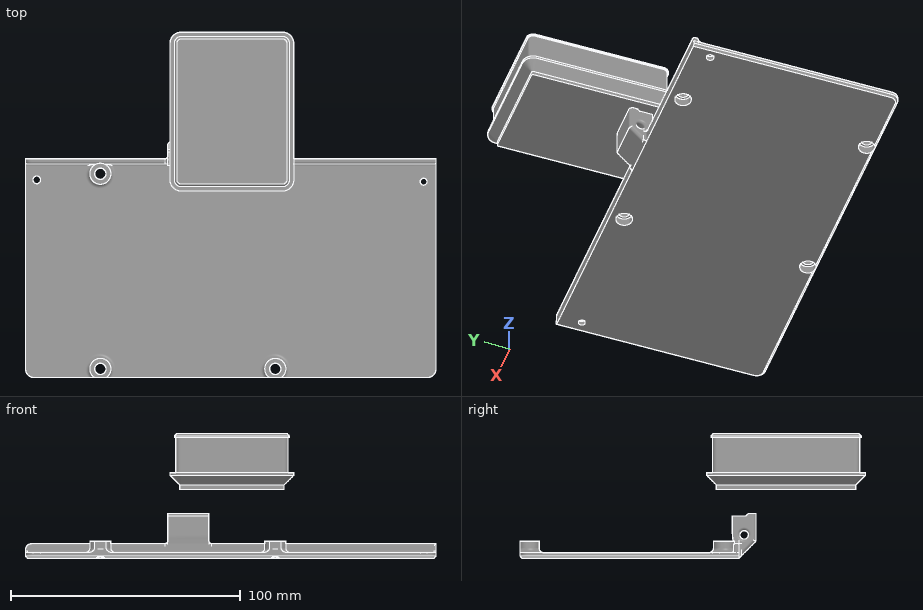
import cadquery as cq
import math

plate_width = 179.0
plate_depth = 95.4
plate_thickness = 2.5
plate_corner_radius = 4.0
plate_bottom_chamfer = 1.0

rim_height = 6.5
rim_thickness = 2.4
rim_front_fillet = 1.0
rim_back_fillet = 0.6
rim_left_corner_radius = 2.9
rim_foot_fillet = 0.8
rim_front_y = plate_depth - rim_thickness

boss_diameter = 9.2
boss_top = 7.5
boss_fillet = 2.0
boss_first_x = 32.7
boss_first_y = 3.85
boss_spacing_x = 76.2
boss_spacing_y = 85.0
screw_hole_diameter = 4.8
screw_head_diameter = 7.2
screw_head_depth = 4.0

locating_holes = [(5.0, 86.2, 3.24), (173.5, 85.4, 2.9)]

lug_left_x = 62.0
lug_width = 18.0
lug_front_y = 92.5
lug_back_y = 102.9
lug_top = 19.6
lug_step_height = 1.1
lug_ledge_depth = 3.4
lug_throat_top = 11.0
lug_throat_bottom = 8.1
lug_throat_foot = 6.3
lug_throat_radius = 30.96 / 2
lug_back_fillet = 1.7
lug_flare_radius = 1.2
lug_hole_diameter = 3.6
lug_hole_mouth_fillet = 1.5
lug_hole_y = 97.7
lug_hole_z = 10.25

box_center_x = 90.0
box_back_y = 150.6
box_bottom = 30.0
box_width = 49.0
box_depth = 64.3
box_corner_radius = 2.5
flange_overhang = 2.5
plug_inset = 1.7
plug_height = 2.0
flange_rim_height = 1.2
flange_chamfer = flange_overhang + plug_inset
flange_top = box_bottom + plug_height + flange_chamfer + flange_rim_height
box_center_y = box_back_y - flange_overhang - box_depth / 2

lid_overhang = 0.6
lid_chamfer = 1.1
lid_thickness = 1.7
lid_top = 54.46
lid_bottom = lid_top - lid_thickness


def plate_slab():
    slab = cq.Workplane("XY").box(plate_width, plate_depth, plate_thickness, centered=False)
    slab = slab.edges("|Z and <Y").fillet(plate_corner_radius)
    return slab.faces("<Z").edges("not(>Y)").chamfer(plate_bottom_chamfer)


def rim():
    upright = (
        cq.Workplane("XY")
        .box(plate_width, rim_thickness, rim_height - plate_thickness, centered=False)
        .translate((0, rim_front_y, plate_thickness))
    )
    upright = upright.edges("|Y and >Z and <X").fillet(rim_left_corner_radius)
    upright = upright.faces("<Y").edges("not(<Z)").fillet(rim_front_fillet)
    upright = upright.faces(">Y").edges("not(<Z)").fillet(rim_back_fillet)
    bulge = rim_foot_fillet * (1 - math.sqrt(0.5))
    foot = (
        cq.Workplane("YZ")
        .moveTo(rim_front_y, plate_thickness)
        .lineTo(rim_front_y - rim_foot_fillet, plate_thickness)
        .threePointArc(
            (rim_front_y - bulge, plate_thickness + bulge),
            (rim_front_y, plate_thickness + rim_foot_fillet),
        )
        .close()
        .extrude(plate_width)
    )
    return upright.union(foot)


def boss():
    """Boss about the Z axis that flares into the plate through a concave fillet."""
    radius = boss_diameter / 2
    fillet_top = plate_thickness + boss_fillet
    bulge = boss_fillet * (1 - math.sqrt(0.5))
    return (
        cq.Workplane("XZ")
        .moveTo(0, plate_thickness)
        .lineTo(radius + boss_fillet, plate_thickness)
        .threePointArc((radius + bulge, plate_thickness + bulge), (radius, fillet_top))
        .lineTo(radius, boss_top)
        .lineTo(0, boss_top)
        .close()
        .revolve(360, (0, 0), (0, 1))
    )


def screw_passage():
    """Through hole with a screw-head recess from the underside."""
    hole = cq.Workplane("XY").circle(screw_hole_diameter / 2).extrude(boss_top)
    head = cq.Workplane("XY").circle(screw_head_diameter / 2).extrude(screw_head_depth)
    return hole.union(head)


def side_edges(lug, centers):
    """Edges of both lug sides whose middles lie nearest to the given (y, z) places."""
    found = []
    for x in (lug_left_x, lug_left_x + lug_width):
        for y, z in centers:
            found += lug.edges(cq.selectors.NearestToPointSelector((x, y, z))).vals()
    return lug.newObject(found)


def hinge_lug():
    ledge_y = lug_back_y - lug_ledge_depth
    step_z = lug_top - lug_step_height
    throat_drop = lug_throat_top - lug_throat_bottom

    def throat_y(drop):
        sag = lug_throat_radius - math.sqrt(lug_throat_radius**2 - drop**2)
        return lug_front_y + sag

    slope_top = lug_back_y - plate_depth
    lug = (
        cq.Workplane("YZ")
        .moveTo(plate_depth, 0)
        .lineTo(lug_back_y, slope_top)
        .lineTo(lug_back_y, lug_top)
        .lineTo(ledge_y, lug_top)
        .lineTo(ledge_y - lug_step_height, step_z)
        .lineTo(lug_front_y, step_z)
        .lineTo(lug_front_y, lug_throat_top)
        .threePointArc(
            (throat_y(throat_drop / 2), lug_throat_top - throat_drop / 2),
            (throat_y(throat_drop), lug_throat_bottom),
        )
        .lineTo(rim_front_y, lug_throat_foot)
        .lineTo(rim_front_y, 0)
        .close()
        .extrude(lug_width)
        .translate((lug_left_x, 0, 0))
    )
    upright_middle = (lug_back_y, (slope_top + lug_top) / 2)
    slope_middle = ((plate_depth + lug_back_y) / 2, slope_top / 2)
    lug = side_edges(lug, [upright_middle, slope_middle]).fillet(lug_back_fillet)

    hole = (
        cq.Workplane("YZ", origin=(lug_left_x, lug_hole_y, lug_hole_z))
        .circle(lug_hole_diameter / 2)
        .extrude(lug_width)
    )
    return side_edges(lug.cut(hole), [(lug_hole_y, lug_hole_z)]).fillet(lug_hole_mouth_fillet)


def flare_outline(workplane, base, shoulder):
    """Outline as wide as the lug at the shoulder and curving outward to a wider base."""
    left = lug_left_x
    right = lug_left_x + lug_width
    radius = lug_flare_radius
    bulge = radius * (1 - math.sqrt(0.5))
    return (
        workplane.moveTo(left - radius, base)
        .lineTo(left - radius, shoulder)
        .threePointArc((left - bulge, shoulder + bulge), (left, shoulder + radius))
        .lineTo(right, shoulder + radius)
        .threePointArc((right + bulge, shoulder + bulge), (right + radius, shoulder))
        .lineTo(right + radius, base)
        .close()
    )


def lug_flares():
    """Concave shoulders where the lug runs out onto the rim top and the plate's back face."""
    top_plane = cq.Workplane("XZ", origin=(0, plate_depth, 0))
    top_flare = flare_outline(top_plane, rim_height - rim_front_fillet, rim_height).extrude(rim_thickness)
    back_flare = flare_outline(cq.Workplane("XY"), rim_front_y, plate_depth).extrude(rim_height)
    slope_cut = (
        cq.Workplane("YZ")
        .moveTo(plate_depth, 0)
        .lineTo(plate_depth + rim_height, rim_height)
        .lineTo(plate_depth + rim_height, 0)
        .close()
        .extrude(plate_width)
    )
    return top_flare.union(back_flare.cut(slope_cut))


def make_base_plate():
    boss_places = [
        (boss_first_x + column * boss_spacing_x, boss_first_y + row * boss_spacing_y, 0)
        for column in range(2)
        for row in range(2)
    ]
    plate = plate_slab().union(rim()).union(hinge_lug()).union(lug_flares())
    footprint = cq.Workplane("XY").box(plate_width, plate_depth, boss_top, centered=False)
    for place in boss_places:
        plate = plate.union(boss().translate(place).intersect(footprint))
    for place in boss_places:
        plate = plate.cut(screw_passage().translate(place))
    for x, y, diameter in locating_holes:
        hole = cq.Workplane("XY", origin=(x, y, 0)).circle(diameter / 2).extrude(plate_thickness)
        plate = plate.cut(hole)
    return plate


def rounded_block(offset, bottom, top):
    """Block whose outline is the box outline moved outward by offset."""
    return (
        cq.Workplane("XY", origin=(box_center_x, box_center_y, bottom))
        .rect(box_width + 2 * offset, box_depth + 2 * offset)
        .extrude(top - bottom)
        .edges("|Z")
        .fillet(box_corner_radius + offset)
    )


def make_box():
    flange_bottom = box_bottom + plug_height
    plug = rounded_block(-plug_inset, box_bottom, flange_bottom)
    flange = rounded_block(flange_overhang, flange_bottom, flange_top)
    flange = flange.faces("<Z").chamfer(flange_chamfer)
    walls = rounded_block(0, flange_top, lid_bottom)
    return plug.union(flange).union(walls)


def make_lid():
    return rounded_block(lid_overhang, lid_bottom, lid_top).faces(">Z").chamfer(lid_chamfer)


base_plate = make_base_plate()
box = make_box()
lid = make_lid()

result = cq.Compound.makeCompound([base_plate.val(), box.val(), lid.val()])